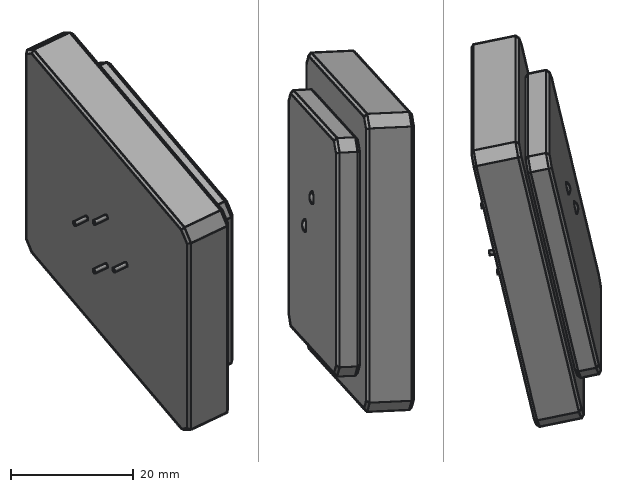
import cadquery as cq
import math

BASE_SIDE = 50.0
BASE_THICKNESS = 8.0

UPPER_SIDE = 40.0
UPPER_THICKNESS = 4.0

CORNER_CUT = 2.0
EDGE_BEVEL = 0.5

PIN_DIAMETER = 0.8
PIN_LENGTH = 2.4
PIN_OFFSET = 6.0

DOME_HEIGHT = 0.45
DOME_SPHERE_RADIUS = 3.0 / 2
DOME_RIM_RADIUS = math.sqrt(DOME_SPHERE_RADIUS**2 - (DOME_SPHERE_RADIUS - DOME_HEIGHT) ** 2)

DOME_PLACES = [(PIN_OFFSET, 0), (0, PIN_OFFSET)]
PIN_PLACES = DOME_PLACES + [(-PIN_OFFSET, 0), (0, -PIN_OFFSET)]


def bevelled_plate(side, thickness, front_y):
    """Square plate with cut corners and bevelled edges, from front_y towards +Y."""
    block = cq.Workplane("XY").box(side, thickness, side, centered=(True, False, True))
    cut_block = block.edges("|Y").chamfer(CORNER_CUT)
    bevelled = cut_block.faces("<Y or >Y").edges().chamfer(EDGE_BEVEL)
    return bevelled.translate((0, front_y, 0))


def contact_pin(x, z):
    """Round pin reaching forward from the front face of the base plate."""
    pin = cq.Solid.makeCylinder(
        PIN_DIAMETER / 2, PIN_LENGTH, cq.Vector(x, -BASE_THICKNESS, z), cq.Vector(0, -1, 0)
    )
    return cq.Workplane(obj=pin)


def solder_dome(x, z):
    """Spherical cap standing on the back face of the upper plate."""
    middle_angle = math.asin(DOME_RIM_RADIUS / DOME_SPHERE_RADIUS) / 2
    arc_middle = (
        DOME_SPHERE_RADIUS * math.sin(middle_angle),
        DOME_HEIGHT - DOME_SPHERE_RADIUS * (1 - math.cos(middle_angle)),
    )
    half_profile = (
        cq.Workplane("XY")
        .lineTo(DOME_RIM_RADIUS, 0)
        .threePointArc(arc_middle, (0, DOME_HEIGHT))
        .close()
    )
    return half_profile.revolve(360, (0, 0), (0, 1)).translate((x, UPPER_THICKNESS, z))


base_plate = bevelled_plate(BASE_SIDE, BASE_THICKNESS, -BASE_THICKNESS)
for pin_x, pin_z in PIN_PLACES:
    base_plate = base_plate.union(contact_pin(pin_x, pin_z))

upper_plate = bevelled_plate(UPPER_SIDE, UPPER_THICKNESS, 0)
for dome_x, dome_z in DOME_PLACES:
    upper_plate = upper_plate.union(solder_dome(dome_x, dome_z))

result = cq.Compound.makeCompound([base_plate.val(), upper_plate.val()])